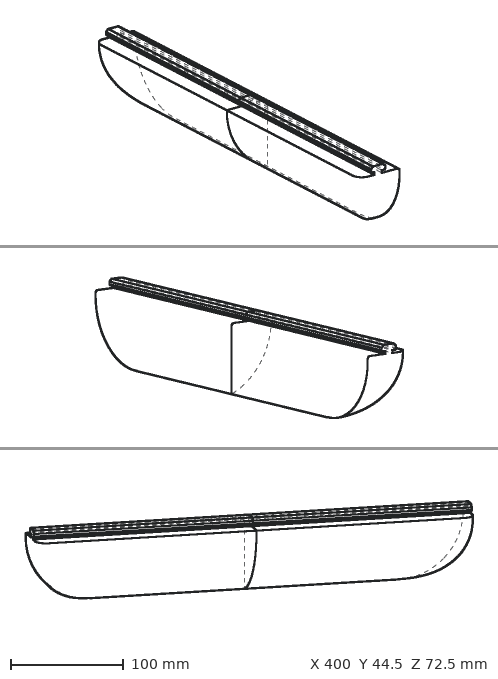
import cadquery as cq

length = 400.0
half_length = length / 2
depth = 44.5
total_height = 72.5
rail_height = 8.5
body_height = total_height - rail_height

front_radius = (depth**2 + body_height**2) / (2 * depth)
lip_height = 5.0
end_radius = body_height - lip_height
corner_radius = 10.0
back_edge_radius = 2.6
back_allowance = 12.0

rail_center_y = -23.5
neck_width = 8.0
neck_height = 2.5
head_width = 16.0
head_chamfer = 2.5
underside_chamfer = 1.0


def arc_height(offset, radius):
    """Height below an arc's centre, at a horizontal offset from that centre."""
    return (radius**2 - offset**2) ** 0.5


def front_section():
    """Cross-section of the body with a curved front, reaching past the back by the allowance."""
    center_y = front_radius - depth
    mid_y = -depth / 2
    mid_z = -arc_height(center_y - mid_y, front_radius)
    stock_bottom = -arc_height(center_y - back_allowance, front_radius)
    return (
        cq.Workplane("YZ")
        .moveTo(back_allowance, 0)
        .lineTo(-depth, 0)
        .threePointArc((mid_y, mid_z), (back_allowance, stock_bottom))
        .close()
        .extrude(-half_length)
    )


def end_outline():
    """Side outline of the left half; past the end arc it drops clear of the curved front's lower edge."""
    mid_offset = end_radius / 2
    mid_point = (-half_length + mid_offset, -lip_height - arc_height(end_radius - mid_offset, end_radius))
    arc_end = (-half_length + end_radius, -lip_height - end_radius)
    outline_bottom = body_height + back_allowance
    return (
        cq.Workplane("XZ")
        .moveTo(0, 0)
        .lineTo(-half_length, 0)
        .lineTo(-half_length, -lip_height)
        .threePointArc(mid_point, arc_end)
        .lineTo(arc_end[0], -outline_bottom)
        .lineTo(0, -outline_bottom)
        .close()
        .extrude(depth + back_allowance)
        .translate((0, back_allowance, 0))
    )


def body():
    """Left half of the body with its front corner and upper back edge rounded."""
    block = front_section().intersect(end_outline())
    corner = cq.selectors.NearestToPointSelector((-half_length, -depth, -lip_height / 2))
    rounded = block.edges(corner).fillet(corner_radius)
    envelope = (
        cq.Workplane("XY")
        .box(half_length, depth, body_height, centered=False)
        .translate((-half_length, -depth, -body_height))
    )
    trimmed = rounded.intersect(envelope)
    return trimmed.edges("|X and >Y and >Z").fillet(back_edge_radius)


def rail():
    """T-shaped rail on the deck, with the upper and lower edges of its head chamfered."""
    neck = cq.Workplane("XY").box(half_length, neck_width, neck_height, centered=(False, True, False))
    head = (
        cq.Workplane("XY")
        .workplane(offset=neck_height)
        .box(half_length, head_width, rail_height - neck_height, centered=(False, True, False))
        .edges("|X and >Z")
        .chamfer(head_chamfer)
        .faces("<Z")
        .edges("|X")
        .chamfer(underside_chamfer)
    )
    return neck.union(head).translate((-half_length, rail_center_y, 0))


left_half = body().union(rail())
right_half = left_half.mirror("YZ")

result = cq.Compound.makeCompound([left_half.val(), right_half.val()])